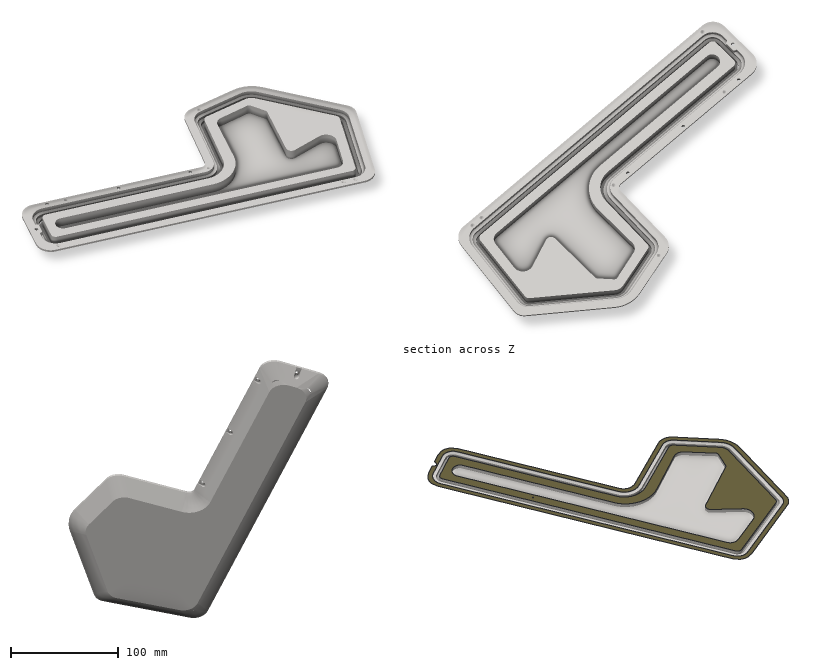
import cadquery as cq
import math

HEIGHT = 12.0
RIM_THICKNESS = 2.0
FLOOR_THICKNESS = 2.0
UNDERSIDE_INSET = 15.7

ARM_WIDTH = 67.3
OUTER_CORNERS = [
    (0, 0),
    (ARM_WIDTH, 0),
    (ARM_WIDTH, 330.0),
    (-34.5, 342.2),
    (-98.0, 258.0),
    (-78.2, 187.5),
    (0, 185.0),
]
OUTER_RADII = [14.5, 14.5, 14.5, 12.0, 30.7, 13.5, 5.0]
UNDERSIDE_RADII = [14.5, 14.5, 14.5, 12.0, 15.0, 13.5, 21.0]
LEFT_CORNER = 4
INNER_CORNER = 6

RIM_WIDTH = 8.0
STEP_WIDTH = 3.0
STEP_COUNT = 3
FIRST_DROP = 4.0
STEP_DROP = 2.9
PLATEAU_INSET = RIM_WIDTH + STEP_COUNT * STEP_WIDTH
PLATEAU_RADIUS = 4.5
PLATEAU_LEFT_RADIUS = 10.2
PLATEAU_INNER_RADIUS = 21.2

POCKET_LEFT = 26.5
POCKET_RIGHT = 41.3
POCKET_END = 25.5
POCKET_END_RADIUS = 7.2
FINGER_TOP = 263.0
FINGER_BOTTOM = 213.5
POCKET_CORNERS = [
    (POCKET_LEFT, POCKET_END, POCKET_END_RADIUS),
    (POCKET_RIGHT, POCKET_END, POCKET_END_RADIUS),
    (POCKET_RIGHT, 306.5, 8.2),
    (-12.3, 313.2, 10.0),
    (8.0, FINGER_TOP, 5.0),
    (-55.3, FINGER_TOP, 3.0),
    (-69.0, 250.0, 3.0),
    (-58.0, FINGER_BOTTOM, 8.5),
    (POCKET_LEFT, FINGER_BOTTOM, 31.5),
]

SCREW_DIAMETER = 3.5
RECESS_WIDTH = 5.0
SIDE_HOLE_X = 3.5
END_SCREW = (33.8, 7.0)
SIDE_SCREWS = [(SIDE_HOLE_X, y) for y in (27.5, 97.7, 168.0)]
END_BOSS_RADIUS = 6.5
LEFT_DIMPLES = [(SIDE_HOLE_X, 45.8), (SIDE_HOLE_X, 186.0), (-78.0, 204.2)]
LEFT_DIMPLE_DIAMETER = 3.5
RIGHT_DIMPLES = [(62.0, y) for y in (18.8, 298.5, 310.0)]
RIGHT_DIMPLE_DIAMETER = 4.0
DIMPLE_DEPTH = 1.7


def inset(corners, distance):
    """Move every side of a counterclockwise polygon inward by a distance."""
    moved = []
    for i, (x, y) in enumerate(corners):
        before = corners[i - 1]
        after = corners[(i + 1) % len(corners)]
        angle_in = math.atan2(y - before[1], x - before[0])
        angle_out = math.atan2(after[1] - y, after[0] - x)
        half_turn = (angle_out - angle_in) / 2
        middle = angle_in + half_turn + math.pi / 2
        reach = distance / math.cos(half_turn)
        moved.append((x + reach * math.cos(middle), y + reach * math.sin(middle)))
    return moved


def rounded_outline(corners, radii, z):
    """Closed outline at height z with each corner replaced by a tangent arc."""
    arcs = []
    for i, (corner, radius) in enumerate(zip(corners, radii)):
        vertex = cq.Vector(*corner)
        to_before = (cq.Vector(*corners[i - 1]) - vertex).normalized()
        to_after = (cq.Vector(*corners[(i + 1) % len(corners)]) - vertex).normalized()
        half_angle = to_before.getAngle(to_after) / 2
        tangent = radius / math.tan(half_angle)
        apex = radius / math.sin(half_angle) - radius
        middle = (to_before + to_after).normalized()
        points = (vertex + to_before * tangent, vertex + middle * apex, vertex + to_after * tangent)
        arcs.append([point.toTuple()[:2] for point in points])
    outline = cq.Workplane("XY").workplane(offset=z).moveTo(*arcs[0][2])
    for start, middle, end in arcs[1:]:
        outline = outline.lineTo(*start).threePointArc(middle, end)
    start, middle, end = arcs[0]
    return outline.lineTo(*start).threePointArc(middle, end).close()


def make_body():
    """Thin vertical rim over an underside that slopes in to a flat bottom."""
    rim_bottom = HEIGHT - RIM_THICKNESS
    rim = rounded_outline(OUTER_CORNERS, OUTER_RADII, rim_bottom).extrude(RIM_THICKNESS)
    top_wire = rounded_outline(OUTER_CORNERS, OUTER_RADII, rim_bottom).val()
    bottom_wire = rounded_outline(inset(OUTER_CORNERS, UNDERSIDE_INSET), UNDERSIDE_RADII, 0).val()
    tray = cq.Solid.makeLoft([bottom_wire, top_wire], True)
    return rim.union(cq.Workplane(tray))


def channel_area(rings_out, z, depth):
    """Solid inside the plateau outline grown outward by a number of steps."""
    growth = rings_out * STEP_WIDTH
    radii = [PLATEAU_RADIUS + growth] * len(OUTER_CORNERS)
    radii[LEFT_CORNER] = PLATEAU_LEFT_RADIUS + growth
    radii[INNER_CORNER] = PLATEAU_INNER_RADIUS - growth
    return rounded_outline(inset(OUTER_CORNERS, PLATEAU_INSET - growth), radii, z).extrude(depth)


def make_channel():
    """Staircase channel, deepest against the wall of the plateau."""
    plateau = channel_area(0, 0, HEIGHT)
    channel = None
    for step in range(1, STEP_COUNT + 1):
        depth = FIRST_DROP + (STEP_COUNT - step) * STEP_DROP
        level = channel_area(step, HEIGHT - depth, depth)
        channel = level if channel is None else channel.union(level)
    boss = cq.Workplane("XY").center(*END_SCREW).circle(END_BOSS_RADIUS).extrude(HEIGHT)
    boss = boss.cut(channel_area(STEP_COUNT - 1, 0, HEIGHT))
    return channel.cut(plateau).cut(boss)


def make_pocket():
    corners = [(x, y) for x, y, radius in POCKET_CORNERS]
    radii = [radius for x, y, radius in POCKET_CORNERS]
    return rounded_outline(corners, radii, FLOOR_THICKNESS).extrude(HEIGHT - FLOOR_THICKNESS)


def make_screw_holes():
    points = SIDE_SCREWS + [END_SCREW]
    return cq.Workplane("XY").pushPoints(points).circle(SCREW_DIAMETER / 2).extrude(HEIGHT)


def make_screw_recess(point, angle, reach):
    """Round-ended recess below the rim, open outward along an angle in degrees."""
    half_width = RECESS_WIDTH / 2
    recess = (
        cq.Workplane("XY")
        .moveTo(0, -half_width)
        .lineTo(reach, -half_width)
        .lineTo(reach, half_width)
        .lineTo(0, half_width)
        .threePointArc((-half_width, 0), (0, -half_width))
        .close()
        .extrude(HEIGHT - RIM_THICKNESS)
    )
    return recess.rotate((0, 0, 0), (0, 0, 1), angle).translate((*point, 0))


def make_dimples(points, diameter):
    """Conical dimples in the top of the rim."""
    base = cq.Vector(0, 0, HEIGHT)
    cone = cq.Solid.makeCone(diameter / 2, 0, DIMPLE_DEPTH, base, cq.Vector(0, 0, -1))
    return cq.Workplane("XY").pushPoints(points).eachpoint(lambda place: cone.moved(place))


result = (
    make_body()
    .cut(make_channel())
    .cut(make_pocket())
    .cut(make_screw_holes())
    .cut(make_screw_recess(END_SCREW, -90, END_SCREW[1]))
    .cut(make_dimples(LEFT_DIMPLES, LEFT_DIMPLE_DIAMETER))
    .cut(make_dimples(RIGHT_DIMPLES, RIGHT_DIMPLE_DIAMETER))
)
for screw in SIDE_SCREWS:
    result = result.cut(make_screw_recess(screw, 180, SIDE_HOLE_X))